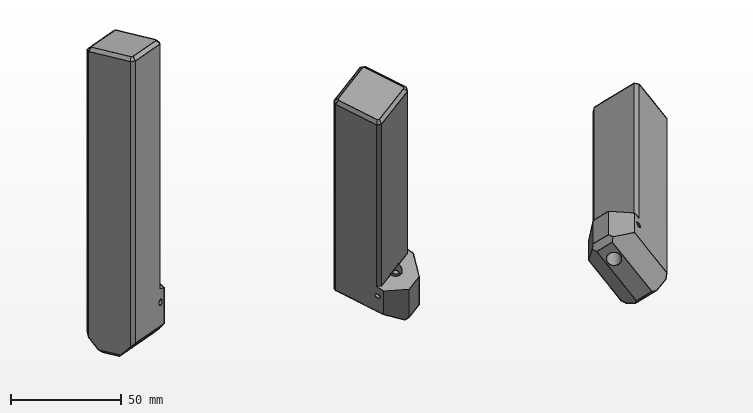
import cadquery as cq
import math

length = 150.0
width = 25.4
edge_chamfer = 1.6
head_depth = 35.8
head_chamfer = 8.4
rear_toe_chamfer = 2.8
shoulder_height = 27.0
shoulder_angle = 14.0
bore_diameter = 6.9
pin_diameter = 2.8
pin_height = 20.1
pin_y = 24.2

half_width = width / 2
shoulder_y = width - edge_chamfer
shoulder_drop = (head_depth - shoulder_y) * math.tan(math.radians(shoulder_angle))


def make_shank():
    """Square bar with bevelled long edges and a bevelled top."""
    bar = (
        cq.Workplane("XY")
        .workplane(offset=head_chamfer)
        .box(width, width, length - head_chamfer, centered=(True, False, False))
    )
    return bar.edges("|Z").chamfer(edge_chamfer).faces(">Z").chamfer(edge_chamfer)


def make_head_profile():
    """Side outline of the head, extruded across the full width."""
    outline = [
        (edge_chamfer, 0),
        (head_depth - rear_toe_chamfer, 0),
        (head_depth, rear_toe_chamfer),
        (head_depth, shoulder_height - shoulder_drop),
        (shoulder_y, shoulder_height),
        (0, shoulder_height),
        (0, edge_chamfer),
    ]
    return cq.Workplane("YZ").polyline(outline).close().extrude(half_width, both=True)


def make_plan_prism():
    """Plan outline with small front bevels and large rear bevels."""
    outline = [
        (-half_width + edge_chamfer, 0),
        (half_width - edge_chamfer, 0),
        (half_width, edge_chamfer),
        (half_width, head_depth - head_chamfer),
        (half_width - head_chamfer, head_depth),
        (-half_width + head_chamfer, head_depth),
        (-half_width, head_depth - head_chamfer),
        (-half_width, edge_chamfer),
    ]
    return cq.Workplane("XY").polyline(outline).close().extrude(length)


def make_front_prism():
    """Front outline with the two lower corners bevelled."""
    outline = [
        (-half_width + head_chamfer, 0),
        (half_width - head_chamfer, 0),
        (half_width, head_chamfer),
        (half_width, length),
        (-half_width, length),
        (-half_width, head_chamfer),
    ]
    return cq.Workplane("XZ").polyline(outline).close().extrude(-head_depth)


shank = make_shank()
head = make_head_profile().intersect(make_plan_prism())
body = shank.union(head).intersect(make_front_prism())

bore = (
    cq.Workplane("XY")
    .center(0, width)
    .circle(bore_diameter / 2)
    .extrude(shoulder_height)
)

pin_hole = (
    cq.Workplane("YZ")
    .center(pin_y, pin_height)
    .circle(pin_diameter / 2)
    .extrude(half_width, both=True)
)

result = body.cut(bore).cut(pin_hole)